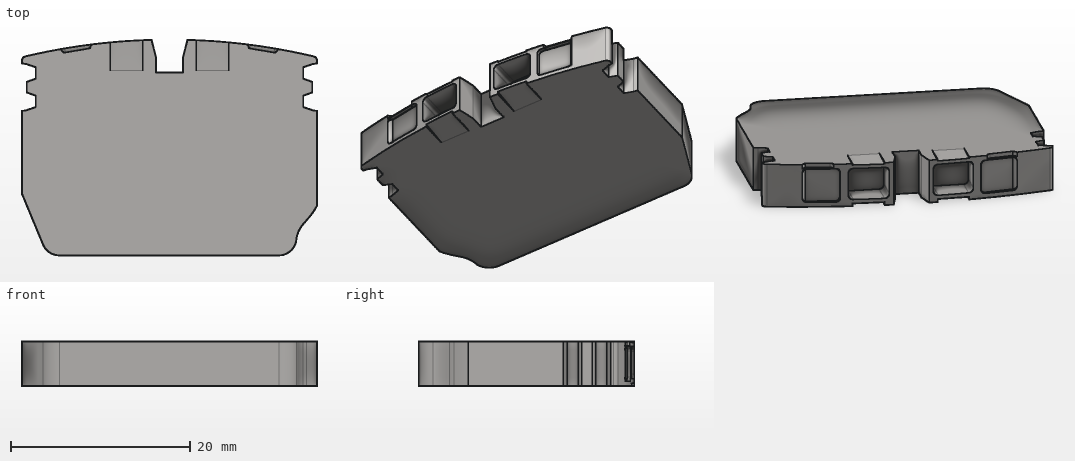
import cadquery as cq
import math

width = 33.0
height = 24.11
thickness = 5.0
half_width = width / 2

crown_radius = 70.0
keyway_mouth_half = 2.0
keyway_half = 1.5
keyway_taper = 1.96
keyway_depth = 3.65
tip_radius = 0.55

groove_x = half_width - 1.55
tooth_x = half_width - 0.55
land_x = half_width - 0.5
flank_rise = 0.36
lip_step = 0.08
lip_bottom = 2.65
tooth_top = 4.7
tooth_bottom = 5.9
shoulder_top = 7.95

corner_radius = 2.0
left_bevel_top = 17.19
left_bevel_foot_x = -13.63
right_cut_top = 18.54
right_bottom_x = 12.2
right_corner_end_angle = math.radians(-12)
right_bulge_middle = (15.95, 4.7)
right_bulge_end = (15.3, 3.91)
right_hollow_start = (14.86, 3.41)
right_hollow_middle = (14.38, 2.58)

ramp_inner_x = 3.0
ramp_outer_x = 6.63
ramp_length = 3.4
ramp_depth_upper = 0.15
ramp_depth_lower = 0.35

opening_depth = ramp_length

window_inner_x = 2.5
window_outer_x = 7.1
window_bottom = 0.8
window_top = 4.45
window_radius = 0.55

notch_outer_x = 12.2
notch_floor_outer = (11.8, height - 1.45)
notch_floor_slope = 1 / 6
notch_slot_inner_x = 8.72
notch_slot_foot_x = 8.9
notch_slot_depth = 0.5
notch_slot_radius = 0.3
notch_pocket_inner_x = 8.0
notch_pocket_bottom = 0.55
notch_pocket_top = 4.45
notch_pocket_radius = 0.5

crown_centre_y = height - math.sqrt(crown_radius**2 - keyway_mouth_half**2)


def crown_y(x):
    """Height of the crown at a given X."""
    return crown_centre_y + math.sqrt(crown_radius**2 - x**2)


def below_top(x, depth):
    """Point at X, a distance below the highest point."""
    return (x, height - depth)


def flank(side):
    """Points of one toothed flank, from the crown tip down to the shoulder."""
    profile = [
        (half_width, lip_bottom),
        (land_x, lip_bottom + lip_step),
        (groove_x, lip_bottom + lip_step + flank_rise),
        (groove_x, tooth_top - flank_rise),
        (tooth_x, tooth_top),
        (tooth_x, tooth_bottom),
        (groove_x, tooth_bottom + flank_rise),
        (groove_x, shoulder_top - lip_step - flank_rise),
        (land_x, shoulder_top - lip_step),
        (half_width, shoulder_top),
    ]
    return [below_top(side * x, depth) for x, depth in profile]


def add_crown(outline, start_x, end_x):
    """Continue the outline along the crown from one X to another."""
    middle_x = (start_x + end_x) / 2
    return outline.threePointArc((middle_x, crown_y(middle_x)), (end_x, crown_y(end_x)))


def add_points(outline, points):
    """Continue the outline in straight lines through the points."""
    for point in points:
        outline = outline.lineTo(*point)
    return outline


def add_right_lower_corner(outline):
    """Bulged cut, hollow and rounded corner at the lower right."""
    def corner_point(angle):
        return (
            right_bottom_x + corner_radius * math.cos(angle),
            corner_radius * (1 + math.sin(angle)),
        )

    middle_angle = (right_corner_end_angle - math.pi / 2) / 2
    return (
        outline.lineTo(*below_top(half_width, right_cut_top))
        .threePointArc(right_bulge_middle, right_bulge_end)
        .lineTo(*right_hollow_start)
        .threePointArc(right_hollow_middle, corner_point(right_corner_end_angle))
        .threePointArc(corner_point(middle_angle), (right_bottom_x, 0))
    )


def make_body():
    """Plate with its full outline and rounded corners."""
    outline = cq.Workplane("XY").moveTo(-half_width, crown_y(half_width))
    outline = add_crown(outline, -half_width, -keyway_mouth_half)
    outline = add_points(outline, [
        below_top(-keyway_half, keyway_taper),
        below_top(-keyway_half, keyway_depth),
        below_top(keyway_half, keyway_depth),
        below_top(keyway_half, keyway_taper),
        (keyway_mouth_half, height),
    ])
    outline = add_crown(outline, keyway_mouth_half, half_width)
    outline = add_points(outline, flank(1))
    outline = add_right_lower_corner(outline)
    outline = outline.lineTo(left_bevel_foot_x, 0)
    outline = outline.lineTo(*below_top(-half_width, left_bevel_top))
    outline = add_points(outline, reversed(flank(-1)))
    body = outline.close().extrude(thickness)

    def edge_at(x, y):
        return cq.selectors.NearestToPointSelector((x, y, thickness / 2))

    for side in (-1, 1):
        tip = edge_at(side * half_width, crown_y(half_width))
        body = body.edges("|Z").edges(tip).fillet(tip_radius)
    return body.edges("|Z").edges(edge_at(left_bevel_foot_x, 0)).fillet(corner_radius)


def make_ramp(face_z, depth):
    """Left-hand wedge, nothing at its inner end and deepest at the crown."""
    return (
        cq.Workplane("YZ", origin=(-ramp_outer_x, 0, 0))
        .polyline([
            (height - ramp_length, face_z),
            (height, face_z - depth),
            (height, face_z),
        ])
        .close()
        .extrude(ramp_outer_x - ramp_inner_x)
    )


def rounded_opening(outer_x, inner_x, bottom, top, radius, depth):
    """Left-hand rounded block reaching down into the crown."""
    return (
        cq.Workplane("XY")
        .box(inner_x - outer_x, depth, top - bottom, centered=False)
        .edges("|Y")
        .fillet(radius)
        .translate((outer_x, height - depth, bottom))
    )


def notch_prism(inner_x, foot_x, bottom, top):
    """Left-hand block whose floor follows the slant of the crown."""
    floor_x, floor_y = notch_floor_outer
    foot_y = floor_y + notch_floor_slope * (floor_x - foot_x)
    return (
        cq.Workplane("XY", origin=(0, 0, bottom))
        .polyline([
            (-inner_x, height),
            (-inner_x, crown_y(inner_x)),
            (-foot_x, foot_y),
            (-floor_x, floor_y),
            (-notch_outer_x, crown_y(notch_outer_x)),
            (-notch_outer_x, height),
        ])
        .close()
        .extrude(top - bottom)
    )


def make_notch_slot():
    """Slot open to the upper face, rounded where its floor meets the inner end."""
    bottom = thickness - notch_slot_depth
    slot = notch_prism(notch_slot_inner_x, notch_slot_foot_x, bottom, thickness)
    floor_corner = cq.selectors.NearestToPointSelector(
        (-notch_slot_foot_x, notch_floor_outer[1], thickness - notch_slot_depth / 2)
    )
    return slot.edges("|Z").edges(floor_corner).fillet(notch_slot_radius)


def make_notch_pocket():
    """Pocket below the slot, with a square inner end and corners rounded about Y."""
    inner_x = notch_pocket_inner_x
    bottom, top = notch_pocket_bottom, notch_pocket_top
    opening = rounded_opening(
        -notch_outer_x, -inner_x, bottom, top, notch_pocket_radius, opening_depth
    )
    return notch_prism(inner_x, inner_x, bottom, top).intersect(opening)


result = make_body()
cutters = [
    make_ramp(thickness, ramp_depth_upper),
    make_ramp(0, -ramp_depth_lower),
    rounded_opening(
        -window_outer_x, -window_inner_x, window_bottom, window_top, window_radius, opening_depth
    ),
    make_notch_slot(),
    make_notch_pocket(),
]
for cutter in cutters:
    result = result.cut(cutter).cut(cutter.mirror("YZ"))